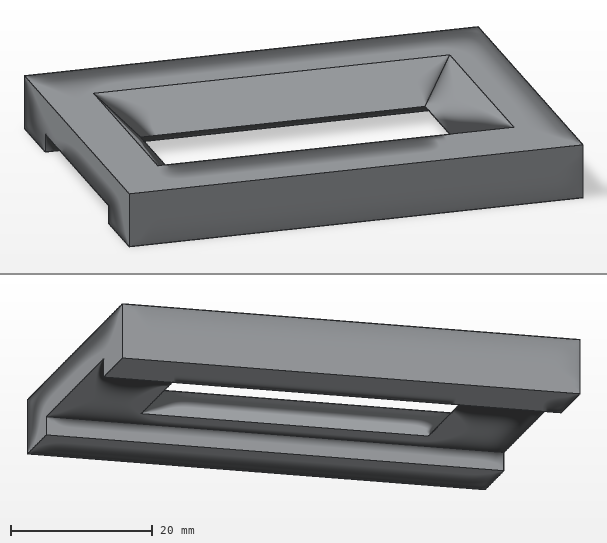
import cadquery as cq

width = 50.0
length = 67.0
height = 8.0

channel_width = 30.15
channel_depth = 2.7

window_width = 20.0
window_length = 42.0
web_thickness = height - channel_depth
wall_run = web_thickness

block = cq.Workplane("XY").box(width, length, height, centered=(True, True, False))

channel = cq.Workplane("XY").box(channel_width, length, channel_depth, centered=(True, True, False))

window = (
    cq.Workplane("XY", origin=(0, 0, channel_depth))
    .rect(window_width, window_length)
    .workplane(offset=web_thickness)
    .rect(window_width + 2 * wall_run, window_length + 2 * wall_run)
    .loft(ruled=True)
)

result = block.cut(channel).cut(window)